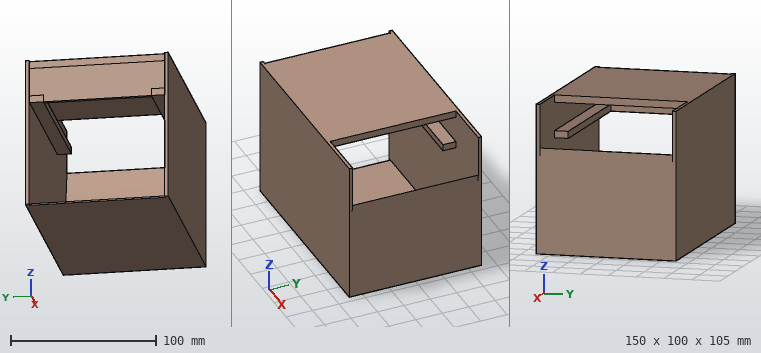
import cadquery as cq

LENGTH = 150
WIDTH = 100.0
HEIGHT = 105

WALL = 2.5
FRONT_SETBACK = 2.5
INNER_WIDTH = WIDTH - 2 * WALL

ROOF_THICKNESS = 5.1
ROOF_END = 112.5
ROOF_LENGTH = ROOF_END - FRONT_SETBACK
ROOF_BOTTOM = HEIGHT - ROOF_THICKNESS
COMPARTMENT_BOTTOM = HEIGHT - 30
LEDGE_WIDTH = 9.8
LEDGE_HEIGHT = 5.0

FLOOR_THICKNESS = 1.0
RAMP_TOP = COMPARTMENT_BOTTOM - 0.6
RAMP_FOOT = LENGTH - 68.1
LOWER_CONTROL_SETBACK = 17.5
LOWER_CONTROL_DROP = 58.8
UPPER_CONTROL_SETBACK = 5.8
UPPER_CONTROL_DROP = 40.0

SIDES = (-1, 1)


def block(length, width, height, start_x, center_y, bottom_z):
    """Box placed by its front face, its middle in Y and its underside."""
    return (
        cq.Workplane("XY", origin=(start_x, center_y, bottom_z))
        .box(length, width, height, centered=(False, True, False))
    )


def side_wall(side):
    """Full-size side plate."""
    return block(LENGTH, WALL, HEIGHT, 0, side * (WIDTH - WALL) / 2, 0)


def roof():
    """Plate flush with the tops of the walls."""
    return block(ROOF_LENGTH, INNER_WIDTH, ROOF_THICKNESS, FRONT_SETBACK, 0, ROOF_BOTTOM)


def ledge(side):
    """Rail along the inside of one wall, at the bottom of the upper compartment."""
    center_y = side * (INNER_WIDTH - LEDGE_WIDTH) / 2
    return block(ROOF_LENGTH, LEDGE_WIDTH, LEDGE_HEIGHT, FRONT_SETBACK, center_y, COMPARTMENT_BOTTOM)


def floor_with_ramp():
    """Thin floor whose back rises in a concave curve to a sharp edge at the back of the housing."""
    curve = [
        (RAMP_FOOT, FLOOR_THICKNESS),
        (LENGTH - LOWER_CONTROL_SETBACK, RAMP_TOP - LOWER_CONTROL_DROP),
        (LENGTH - UPPER_CONTROL_SETBACK, RAMP_TOP - UPPER_CONTROL_DROP),
        (LENGTH, RAMP_TOP),
    ]
    return (
        cq.Workplane("XZ", origin=(0, INNER_WIDTH / 2, 0))
        .moveTo(FRONT_SETBACK, 0)
        .lineTo(FRONT_SETBACK, FLOOR_THICKNESS)
        .lineTo(RAMP_FOOT, FLOOR_THICKNESS)
        .bezier(curve)
        .lineTo(LENGTH, 0)
        .close()
        .extrude(INNER_WIDTH)
    )


def make_housing():
    """One-piece housing: walls, roof, ledges and the floor with its ramp."""
    housing = roof().union(floor_with_ramp())
    for side in SIDES:
        housing = housing.union(side_wall(side)).union(ledge(side))
    return housing.solids()


def make_front_panel():
    """Panel closing the front of the upper compartment, its lower corners notched around the ledges."""
    panel = block(WALL, INNER_WIDTH, ROOF_BOTTOM - COMPARTMENT_BOTTOM, FRONT_SETBACK, 0, COMPARTMENT_BOTTOM)
    for side in SIDES:
        panel = panel.cut(ledge(side))
    return panel.solids()


housing = make_housing()
front_panel = make_front_panel()

result = cq.Compound.makeCompound([housing.val(), front_panel.val()])